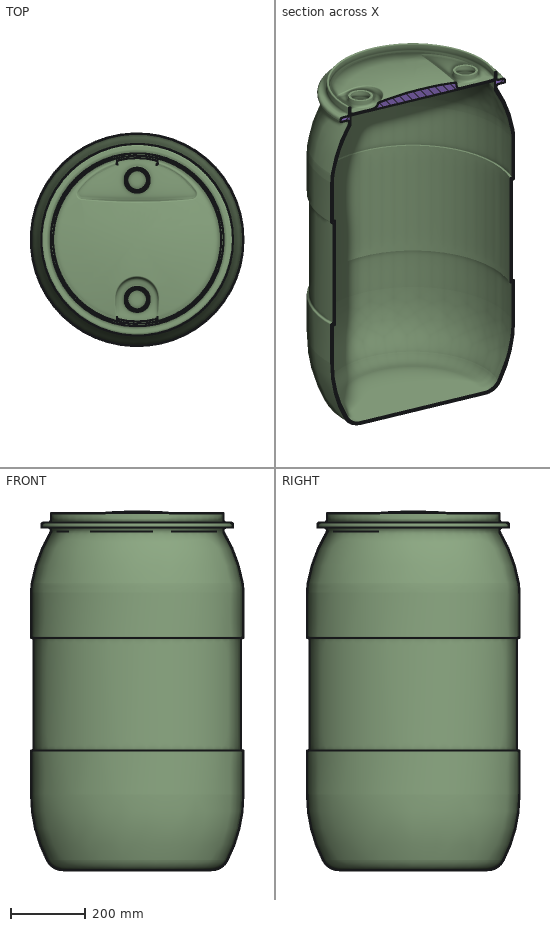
import cadquery as cq
import math

total_height = 969.2
wall = 6.35
band_radius = 574.04 / 2
body_radius = band_radius - wall
neck_radius = 466.85 / 2

heel_radius = 50.8
bottom_curve_radius = 381.0
lower_band_bottom = 204.0
lower_band_top = 323.3
upper_band_bottom = 627.2
upper_band_top = 749.3
band_fillet = 0.495 * wall
shoulder_blend_radius = 152.4
shoulder_blend_height = 25.4
shoulder_curve_radius = 393.7
neck_fillet = 6.35

flange_radius = 517.65 / 2
flange_top = 939.0
flange_bottom = 925.0
flange_top_round = 7.5
flange_bottom_round = 2.8
flange_fillet = 5.08

rim_top = 964.4
rim_fillet = 0.495 * wall

lid_radius = neck_radius - wall
ledge_radius = 447.02 / 2
ledge_fillet = lid_radius - ledge_radius
ledge_height = 943.0
dome_foot_radius = 218.4
dome_rise = total_height - ledge_height
dome_radius = (dome_foot_radius**2 + dome_rise**2) / (2 * dome_rise)
dome_center = cq.Vector(0, 0, total_height - dome_radius)
pocket_floor = 942.0
pocket_draft = 12.0
pocket_fillet = 6.35
pocket_edge_fillet = 3.175

bung_offset = 161.0
bung_radius = 60.33 / 2
bung_bore_radius = 53.85 / 2
bung_floor = bung_radius - bung_bore_radius
bung_depth = 19.0
bung_fillet = 3.175
collar_radius = 67.0 / 2
collar_fillet = wall
collar_top = 960.0
lid_bottom = collar_top - bung_depth - bung_floor

moon_back_radius = 193.5
moon_back_center = 20.0
moon_front_y = 106.0
moon_half_width = 170.0
moon_corner_round = 13.0
moon_outlet_offset = 175.0

arch_radius = 56.0


def barrel(inset):
    """Solid barrel with its surface moved inwards by inset."""
    bottom = inset
    band_r = band_radius - inset
    body_r = body_radius - inset
    neck_r = neck_radius - inset
    heel_r = heel_radius - inset
    bottom_curve_r = bottom_curve_radius - inset
    shoulder_curve_r = shoulder_curve_radius - inset
    blend_r = shoulder_blend_radius - inset

    curve_center = band_radius - bottom_curve_radius
    heel_center_z = heel_radius
    heel_slope = math.asin((lower_band_bottom - heel_center_z) / (bottom_curve_radius - heel_radius))
    heel_center = curve_center + (bottom_curve_radius - heel_radius) * math.cos(heel_slope)

    blend_center = band_radius - shoulder_blend_radius
    blend_angle = math.asin(shoulder_blend_height / shoulder_blend_radius)
    center_shift = shoulder_curve_radius - shoulder_blend_radius
    shoulder_center = blend_center - center_shift * math.cos(blend_angle)
    shoulder_center_z = upper_band_top - center_shift * math.sin(blend_angle)
    neck_angle = math.acos((neck_r - shoulder_center) / shoulder_curve_r)
    shoulder_middle_angle = (blend_angle + neck_angle) / 2

    def on_arc(center, center_z, radius, angle):
        return (center + radius * math.cos(angle), center_z + radius * math.sin(angle))

    heel_middle = on_arc(heel_center, heel_center_z, heel_r, -(heel_slope + math.pi / 2) / 2)
    heel_end = on_arc(heel_center, heel_center_z, heel_r, -heel_slope)
    curve_middle = on_arc(curve_center, lower_band_bottom, bottom_curve_r, -heel_slope / 2)
    blend_middle = on_arc(blend_center, upper_band_top, blend_r, blend_angle / 2)
    blend_end = on_arc(blend_center, upper_band_top, blend_r, blend_angle)
    shoulder_middle = on_arc(shoulder_center, shoulder_center_z, shoulder_curve_r, shoulder_middle_angle)
    shoulder_end = on_arc(shoulder_center, shoulder_center_z, shoulder_curve_r, neck_angle)

    return (
        cq.Workplane("XZ")
        .moveTo(0, bottom)
        .lineTo(heel_center, bottom)
        .threePointArc(heel_middle, heel_end)
        .threePointArc(curve_middle, (band_r, lower_band_bottom))
        .lineTo(band_r, lower_band_top - inset)
        .lineTo(body_r, lower_band_top - inset)
        .lineTo(body_r, upper_band_bottom + inset)
        .lineTo(band_r, upper_band_bottom + inset)
        .lineTo(band_r, upper_band_top)
        .threePointArc(blend_middle, blend_end)
        .threePointArc(shoulder_middle, shoulder_end)
        .lineTo(neck_r, rim_top)
        .lineTo(0, rim_top)
        .close()
        .revolve(360, (0, 0, 0), (0, 1, 0))
    )


def round_edge(radius, low, high):
    """Test for picking the round edges with this radius between two heights."""
    def chosen(edge):
        in_range = low < edge.Center().z < high
        return in_range and edge.geomType() == "CIRCLE" and math.isclose(edge.radius(), radius)
    return chosen


def neck_flange():
    """Round-edged flange, blended into the neck by fillets above and below."""
    bottom = flange_bottom
    top = flange_top
    blend = neck_radius + flange_fillet
    bend = 1 - math.sqrt(0.5)
    return (
        cq.Workplane("XZ")
        .moveTo(lid_radius, bottom - flange_fillet)
        .lineTo(neck_radius, bottom - flange_fillet)
        .threePointArc(
            (neck_radius + bend * flange_fillet, bottom - bend * flange_fillet), (blend, bottom)
        )
        .lineTo(flange_radius - flange_bottom_round, bottom)
        .threePointArc(
            (flange_radius - bend * flange_bottom_round, bottom + bend * flange_bottom_round),
            (flange_radius, bottom + flange_bottom_round),
        )
        .lineTo(flange_radius, top - flange_top_round)
        .threePointArc(
            (flange_radius - bend * flange_top_round, top - bend * flange_top_round),
            (flange_radius - flange_top_round, top),
        )
        .lineTo(blend, top)
        .threePointArc(
            (neck_radius + bend * flange_fillet, top + bend * flange_fillet),
            (neck_radius, top + flange_fillet),
        )
        .lineTo(lid_radius, top + flange_fillet)
        .close()
        .revolve(360, (0, 0, 0), (0, 1, 0))
    )


def drum_body():
    """Hollow drum, open at the neck, with rounded band steps, neck and rim."""
    outside = barrel(0)
    for height in (lower_band_top, upper_band_bottom):
        for radius in (band_radius, body_radius):
            step_edge = round_edge(radius, height - wall, height + wall)
            outside = outside.edges().filter(step_edge).fillet(band_fillet)
    neck_foot = round_edge(neck_radius, upper_band_top, flange_bottom)
    outside = outside.edges().filter(neck_foot).fillet(neck_fillet)
    shell = outside.cut(barrel(wall)).union(neck_flange())
    return shell.faces(">Z").edges().fillet(rim_fillet)


def lid_blank():
    """Domed disc with a ledge around the dome and a concave fillet up to the neck."""
    bend = 1 - math.sqrt(0.5)
    half_angle = math.asin(dome_foot_radius / dome_radius) / 2
    dome_middle = (
        dome_radius * math.sin(half_angle),
        total_height - dome_radius * (1 - math.cos(half_angle)),
    )
    return (
        cq.Workplane("XZ")
        .moveTo(0, lid_bottom)
        .lineTo(lid_radius, lid_bottom)
        .lineTo(lid_radius, ledge_height + ledge_fillet)
        .threePointArc(
            (lid_radius - bend * ledge_fillet, ledge_height + bend * ledge_fillet),
            (ledge_radius, ledge_height),
        )
        .lineTo(dome_foot_radius, ledge_height)
        .threePointArc(dome_middle, (0, total_height))
        .close()
        .revolve(360, (0, 0, 0), (0, 1, 0))
    )


def pocket_tool(outline):
    """Drafted pocket over an outline, kept inside the rim and rounded along its floor."""
    depth = total_height - pocket_floor
    drafted = outline.extrude(depth, taper=-pocket_draft)
    inside_rim = cq.Workplane("XY").workplane(offset=pocket_floor).circle(ledge_radius).extrude(depth)
    return drafted.intersect(inside_rim).faces("<Z").edges().fillet(pocket_fillet)


def moon_pocket():
    """Half moon between a back arc along the rim and a shallow front arc."""
    corner_y = moon_back_center + math.sqrt(moon_back_radius**2 - moon_half_width**2)
    sketch = (
        cq.Sketch()
        .arc((-moon_half_width, corner_y), (0, moon_back_center + moon_back_radius),
             (moon_half_width, corner_y))
        .arc((moon_half_width, corner_y), (0, moon_front_y), (-moon_half_width, corner_y))
        .assemble()
        .vertices()
        .fillet(moon_corner_round)
    )
    return pocket_tool(cq.Workplane("XY").workplane(offset=pocket_floor).placeSketch(sketch))


def arch_pocket(center_offset):
    """Arch around a point on -Y, open towards the rim."""
    outline = (
        cq.Workplane("XY")
        .workplane(offset=pocket_floor)
        .moveTo(-arch_radius, -band_radius)
        .lineTo(-arch_radius, -center_offset)
        .threePointArc((0, arch_radius - center_offset), (arch_radius, -center_offset))
        .lineTo(arch_radius, -band_radius)
        .close()
    )
    return pocket_tool(outline)


def is_pocket_edge(edge):
    """True for the edges where the pocket walls cut the dome, but not for the round dome foot."""
    on_dome = all(
        math.isclose((edge.positionAt(along) - dome_center).Length, dome_radius, rel_tol=1e-6)
        for along in (0, 0.5, 1)
    )
    return on_dome and edge.geomType() != "CIRCLE"


def bung_collar():
    """Collar with a concave fillet at its foot."""
    foot = collar_radius + collar_fillet
    bend = 1 - math.sqrt(0.5)
    return (
        cq.Workplane("XZ")
        .moveTo(0, lid_bottom)
        .lineTo(foot, lid_bottom)
        .lineTo(foot, pocket_floor)
        .threePointArc(
            (collar_radius + bend * collar_fillet, pocket_floor + bend * collar_fillet),
            (collar_radius, pocket_floor + collar_fillet),
        )
        .lineTo(collar_radius, collar_top)
        .lineTo(0, collar_top)
        .close()
        .revolve(360, (0, 0, 0), (0, 1, 0))
    )


def bung():
    """Round cup that fills the collar bore, flush at both ends."""
    height = collar_top - lid_bottom
    return (
        cq.Workplane("XY")
        .workplane(offset=lid_bottom)
        .circle(bung_radius)
        .extrude(height)
        .faces(">Z")
        .workplane()
        .circle(bung_bore_radius)
        .cutBlind(-bung_depth)
        .faces(cq.selectors.NearestToPointSelector((0, 0, collar_top - bung_depth)))
        .edges()
        .fillet(bung_fillet)
    )


def lid_body(bung_places):
    """Lid with both pockets, and a bored collar at each bung place."""
    moon_outlet = arch_pocket(moon_outlet_offset).rotate((0, 0, 0), (0, 0, 1), 180)
    pocketed = lid_blank().cut(moon_pocket()).cut(moon_outlet).cut(arch_pocket(bung_offset))
    body = pocketed.edges().filter(is_pocket_edge).fillet(pocket_edge_fillet)
    bore = cq.Workplane("XY").workplane(offset=lid_bottom).circle(bung_radius).extrude(total_height)
    for place in bung_places:
        body = body.union(bung_collar().translate(place)).cut(bore.translate(place))
    return body


places = [(0, bung_offset, 0), (0, -bung_offset, 0)]
drum = drum_body()
lid = lid_body(places)
bungs = [bung().translate(place) for place in places]

result = cq.Compound.makeCompound([drum.val(), lid.val(), *[plug.val() for plug in bungs]])